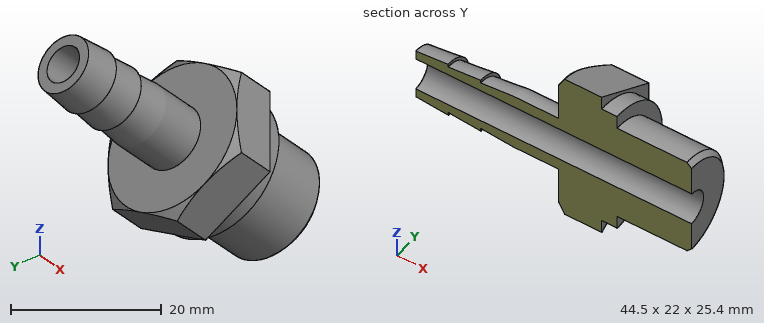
import cadquery as cq
import math

total_length = 44.5

bore_diameter = 5.5
stem_diameter = 9.6
tip_diameter = 8.65
barb_length = 5.25
barb_count = 3

hex_start = 23.0
hex_length = 7.0
hex_across_flats = 22.0
hex_across_corners = hex_across_flats / math.cos(math.radians(30))
hex_chamfer_angle = 30.0

collar_diameter = 21.0
collar_length = 2.5
body_diameter = 16.65
body_chamfer = 0.75

hex_end = hex_start + hex_length
collar_end = hex_end + collar_length


def cylinder(start, end, diameter):
    """Solid cylinder along X."""
    return cq.Workplane("YZ", origin=(start, 0, 0)).circle(diameter / 2).extrude(end - start)


def make_stem():
    """Plain stem behind a row of barbs that widen away from the tip."""
    stem_radius = stem_diameter / 2
    outline = [(0, 0)]
    for i in range(barb_count):
        outline.append((i * barb_length, tip_diameter / 2))
        outline.append(((i + 1) * barb_length, stem_radius))
    outline += [(hex_start, stem_radius), (hex_start, 0)]
    return cq.Workplane("XZ").polyline(outline).close().revolve(360, (0, 0, 0), (1, 0, 0))


def make_hexagon():
    """Hexagon whose corners are turned off by a cone on the hose side."""
    prism = (
        cq.Workplane("YZ", origin=(hex_start, 0, 0))
        .transformed(rotate=(0, 0, 90))
        .polygon(6, hex_across_corners)
        .extrude(hex_length)
    )
    face_radius = hex_across_flats / 2
    cone_depth = hex_length / 2
    cone_radius = face_radius + cone_depth / math.tan(math.radians(hex_chamfer_angle))
    envelope = (
        cq.Workplane("XY")
        .moveTo(hex_start, 0)
        .lineTo(hex_start, face_radius)
        .lineTo(hex_start + cone_depth, cone_radius)
        .lineTo(hex_end, cone_radius)
        .lineTo(hex_end, 0)
        .close()
        .revolve(360, (0, 0, 0), (1, 0, 0))
    )
    return prism.intersect(envelope)


collar = cylinder(hex_end, collar_end, collar_diameter)
body = cylinder(collar_end, total_length, body_diameter).faces(">X").chamfer(body_chamfer)
bore = cylinder(0, total_length, bore_diameter)

result = make_stem().union(make_hexagon()).union(collar).union(body).cut(bore)